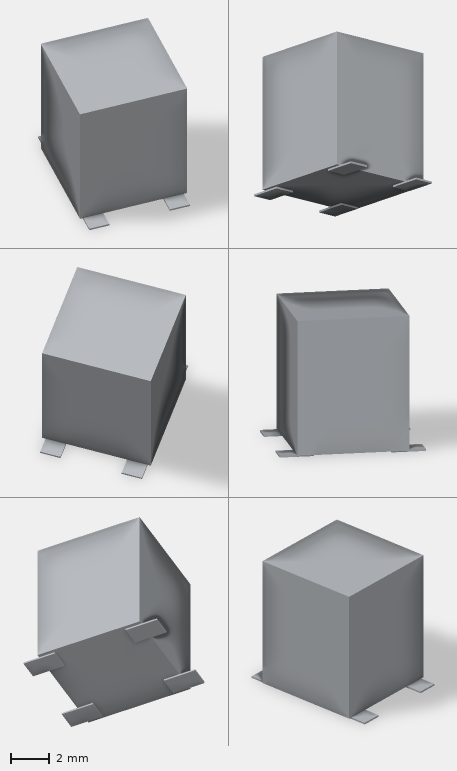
import cadquery as cq

overall_length = 7.82
body_side = 6.0
overall_height = 7.4

pad_thickness = 0.1
pad_length = 1.83
pad_width = 1.12
pad_pitch_y = 4.5

body_height = overall_height - pad_thickness
pad_center_x = (overall_length - pad_length) / 2


def make_body():
    """Square block standing on top of the pads."""
    return (
        cq.Workplane("XY")
        .workplane(offset=pad_thickness)
        .rect(body_side, body_side)
        .extrude(body_height)
    )


def make_pad(x, y):
    """Flat terminal strip under the body, centred at (x, y), with its bottom at Z = 0."""
    return cq.Workplane("XY").center(x, y).rect(pad_length, pad_width).extrude(pad_thickness)


body = make_body()

pads = []
for side_x in (-1, 1):
    for side_y in (-1, 1):
        pad_y = side_y * pad_pitch_y / 2
        pads.append(make_pad(side_x * pad_center_x, pad_y))

result = cq.Compound.makeCompound([body.val(), *[pad.val() for pad in pads]])